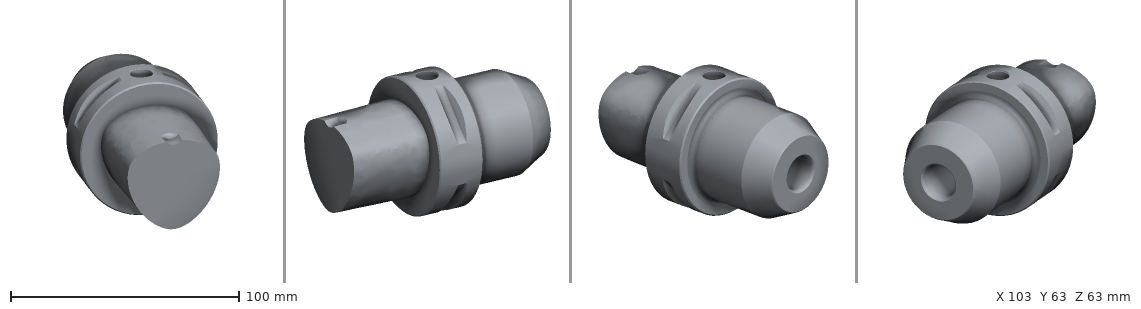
import cadquery as cq
import math

total_length = 103
nose_length = 13.0
groove_start = 40.0
collar_front = 43.0
collar_length = 22.0
collar_back = collar_front + collar_length

nose_radius = 18.0
nose_edge = 0.5
body_radius = 48.0 / 2
relief_radius = 47.8 / 2
collar_radius = 63.0 / 2
collar_chamfer = 0.6

relief_chamfer = body_radius - relief_radius
relief_depth = 0.4
relief_fillet = 2.2
relief_outer_radius = 27.1
relief_floor = collar_front + relief_depth

bore_radius = 16.0 / 2
bore_lead_radius = 16.5 / 2
bore_lead_length = 0.7
bore_mouth_radius = 17.7 / 2
bore_depth = 46.4

shank_mean_radius = 22.0
lobe_offset = 1.4
taper_slope = 1 / 40
profile_points = 48

slot_center_x = 52.9
slot_overshoot = 1
slot_floor_distance = 28.0
slot_floor_width = 4.0
slot_half_angle = 30
slot_corner_radius = 0.6

hole_radius = 10.0 / 2
hole_mouth_radius = 10.5 / 2
hole_floor_z = 26.8
pilot_radius = 4.0 / 2
pilot_depth = 1.2

notch_radius = 5.4
notch_axis_z = 23.1
notch_length = 6.4


def make_turned_body():
    """Nose, body, relief and collar as one revolved profile."""
    arc_center_x = relief_floor - relief_fillet
    arc_center_r = relief_radius + relief_fillet
    arc_reach = relief_fillet * math.sqrt(0.5)
    profile = (
        cq.Workplane("XY")
        .lineTo(0, nose_radius - nose_edge)
        .lineTo(nose_edge, nose_radius)
        .lineTo(nose_length, body_radius)
        .lineTo(groove_start, body_radius)
        .lineTo(groove_start + relief_chamfer, relief_radius)
        .lineTo(arc_center_x, relief_radius)
        .threePointArc(
            (arc_center_x + arc_reach, arc_center_r - arc_reach),
            (relief_floor, arc_center_r),
        )
        .lineTo(relief_floor, relief_outer_radius)
        .lineTo(collar_front, relief_outer_radius)
        .lineTo(collar_front, collar_radius - collar_chamfer)
        .lineTo(collar_front + collar_chamfer, collar_radius)
        .lineTo(collar_back - collar_chamfer, collar_radius)
        .lineTo(collar_back, collar_radius - collar_chamfer)
        .lineTo(collar_back, 0)
        .close()
    )
    return profile.revolve(360, (0, 0, 0), (1, 0, 0))


def lobed_point(mean_radius, angle):
    """Point of the trilobe whose tangent distance is mean + offset * cos(3 * angle), one lobe at -Z."""
    distance = mean_radius + lobe_offset * math.cos(3 * angle)
    shift = 3 * lobe_offset * math.sin(3 * angle)
    along_lobe = distance * math.cos(angle) + shift * math.sin(angle)
    across_lobe = distance * math.sin(angle) - shift * math.cos(angle)
    return across_lobe, -along_lobe


def lobed_wire(x, mean_radius):
    """Closed trilobe outline in the plane at the given x."""
    angles = [2 * math.pi * i / profile_points for i in range(profile_points)]
    points = [cq.Vector(x, *lobed_point(mean_radius, angle)) for angle in angles]
    return cq.Wire.assembleEdges([cq.Edge.makeSpline(points, periodic=True)])


def make_shank():
    """Trilobe taper from the collar back to the far end."""
    shank_length = total_length - collar_back
    end_radius = shank_mean_radius - taper_slope * shank_length
    start = lobed_wire(collar_back, shank_mean_radius)
    end = lobed_wire(total_length, end_radius)
    return cq.Workplane(cq.Solid.makeLoft([start, end], True))


def make_bore():
    """Blind bore with a 45 degree mouth chamfer and a short tapered lead-in."""
    mouth_depth = bore_mouth_radius - bore_lead_radius
    return (
        cq.Workplane("XY")
        .lineTo(0, bore_mouth_radius)
        .lineTo(mouth_depth, bore_lead_radius)
        .lineTo(mouth_depth + bore_lead_length, bore_radius)
        .lineTo(bore_depth, bore_radius)
        .lineTo(bore_depth, 0)
        .close()
        .revolve(360, (0, 0, 0), (1, 0, 0))
    )


def make_slot(angle):
    """Trapezoidal slot across the collar, turned about X to the given angle."""
    height = collar_radius - slot_floor_distance + slot_overshoot
    half_floor = slot_floor_width / 2
    half_top = half_floor + height * math.tan(math.radians(slot_half_angle))
    top_z = slot_floor_distance + height
    cutter = (
        cq.Workplane("XZ")
        .moveTo(slot_center_x - half_floor, slot_floor_distance)
        .lineTo(slot_center_x + half_floor, slot_floor_distance)
        .lineTo(slot_center_x + half_top, top_z)
        .lineTo(slot_center_x - half_top, top_z)
        .close()
        .extrude(collar_radius, both=True)
        .faces("<Z")
        .edges("|Y")
        .fillet(slot_corner_radius)
    )
    return cutter.rotate((0, 0, 0), (1, 0, 0), angle)


def make_top_hole():
    """Flat-bottomed radial hole with a chamfered mouth and a conical centre mark."""
    mouth_depth = hole_mouth_radius - hole_radius
    return (
        cq.Workplane("XZ", origin=(slot_center_x, 0, 0))
        .moveTo(0, hole_floor_z - pilot_depth)
        .lineTo(pilot_radius, hole_floor_z)
        .lineTo(hole_radius, hole_floor_z)
        .lineTo(hole_radius, collar_radius - 2 * mouth_depth)
        .lineTo(hole_mouth_radius, collar_radius - mouth_depth)
        .lineTo(hole_mouth_radius, collar_radius)
        .lineTo(0, collar_radius)
        .close()
        .revolve(360, (0, 0, 0), (0, 1, 0))
    )


def make_notch():
    """Cylinder along X, ending inward in a 45 degree cone."""
    notch_start = total_length - notch_length
    return (
        cq.Workplane("XZ")
        .moveTo(notch_start - notch_radius, notch_axis_z)
        .lineTo(notch_start, notch_axis_z - notch_radius)
        .lineTo(total_length, notch_axis_z - notch_radius)
        .lineTo(total_length, notch_axis_z)
        .close()
        .revolve(360, (0, notch_axis_z, 0), (1, notch_axis_z, 0))
    )


result = make_turned_body().union(make_shank()).cut(make_bore()).cut(make_top_hole()).cut(make_notch())
for slot_angle in (45, 135, 225, 315):
    result = result.cut(make_slot(slot_angle))